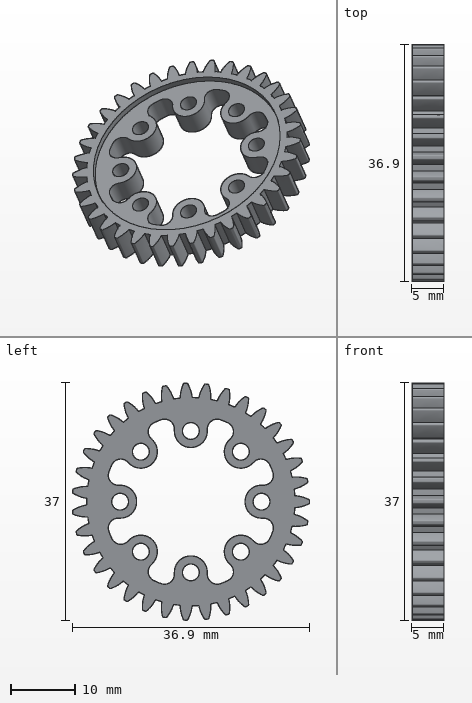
import cadquery as cq
import math

outer_diameter = 37.0
thickness = 5.0
tooth_count = 35
pressure_angle = math.radians(20)
dedendum_factor = 1.25
tooth_thinning = 0.135
root_flare = 0.055
flare_height = 0.55
tip_fillet = 0.22

boss_count = 8
boss_circle_radius = 11.0
boss_radius = 2.6
hole_diameter = 2.6
rim_inner_radius = 13.55
boss_fillet = 1.5

recess_radius = 15.15
recess_depth = 1.0

module = outer_diameter / (tooth_count + 2)
tip_radius = outer_diameter / 2
pitch_radius = module * tooth_count / 2
root_radius = pitch_radius - dedendum_factor * module
base_radius = pitch_radius * math.cos(pressure_angle)
tooth_pitch = 2 * math.pi / tooth_count
form_radius = root_radius + flare_height
involute_points = 5
boss_pitch = 2 * math.pi / boss_count


def polar(radius, angle):
    return (radius * math.cos(angle), radius * math.sin(angle))


def involute(angle):
    return math.tan(angle) - angle


def tooth_half_angle(radius):
    """Half the angle an involute tooth spans at a radius; radial below the base circle."""
    flank_angle = math.acos(min(1.0, base_radius / radius))
    pitch_half_angle = tooth_pitch / 4 - tooth_thinning / (2 * pitch_radius)
    return pitch_half_angle + involute(pressure_angle) - involute(flank_angle)


def flank(tooth_angle, side):
    """Flank points from root to tip, widened at the foot; side is -1 or +1."""
    foot_half_angle = tooth_half_angle(root_radius) + root_flare / root_radius
    points = [polar(root_radius, tooth_angle + side * foot_half_angle)]
    step = (tip_radius - form_radius) / (involute_points - 1)
    for i in range(involute_points):
        radius = form_radius + i * step
        points.append(polar(radius, tooth_angle + side * tooth_half_angle(radius)))
    return points


def is_tip_edge(edge):
    """True for an edge lying on the tip circle."""
    centre = edge.Center()
    return math.isclose(math.hypot(centre.y, centre.z), tip_radius, abs_tol=0.005)


def gear_blank():
    """Solid toothed disc with one tooth centred on -Y and rounded tooth tips."""
    first_angle = math.pi
    outline = cq.Workplane("YZ").moveTo(*flank(first_angle, -1)[0])
    for i in range(tooth_count):
        angle = first_angle + i * tooth_pitch
        next_angle = angle + tooth_pitch
        rising = flank(angle, -1)
        falling = flank(angle, 1)[::-1]
        outline = (
            outline.spline(rising[1:], includeCurrent=True)
            .threePointArc(polar(tip_radius, angle), falling[0])
            .spline(falling[1:], includeCurrent=True)
            .threePointArc(polar(root_radius, angle + tooth_pitch / 2), flank(next_angle, -1)[0])
        )
    disc = outline.close().extrude(thickness)
    return disc.edges("|X").filter(is_tip_edge).fillet(tip_fillet)


def central_opening():
    """Opening that leaves straight-sided bosses with round noses, filleted into the rim."""
    fillet_offset = boss_radius + boss_fillet
    fillet_centre_radius = rim_inner_radius - boss_fillet
    fillet_reach = math.sqrt(fillet_centre_radius**2 - fillet_offset**2)
    fillet_angle = math.atan2(fillet_offset, fillet_reach)
    middle_direction = (fillet_angle - math.pi / 2) / 2
    middle_reach = fillet_reach + boss_fillet * math.cos(middle_direction)
    middle_offset = fillet_offset + boss_fillet * math.sin(middle_direction)

    def boss_point(boss_angle, reach, offset):
        """Point at a reach along the boss centreline and an offset sideways from it."""
        return polar(math.hypot(reach, offset), boss_angle + math.atan2(offset, reach))

    outline = cq.Workplane("YZ").moveTo(*boss_point(0, boss_circle_radius, -boss_radius))
    for i in range(boss_count):
        angle = i * boss_pitch
        next_angle = angle + boss_pitch
        outline = (
            outline.threePointArc(
                polar(boss_circle_radius - boss_radius, angle),
                boss_point(angle, boss_circle_radius, boss_radius),
            )
            .lineTo(*boss_point(angle, fillet_reach, boss_radius))
            .threePointArc(
                boss_point(angle, middle_reach, middle_offset),
                polar(rim_inner_radius, angle + fillet_angle),
            )
            .threePointArc(
                polar(rim_inner_radius, angle + boss_pitch / 2),
                polar(rim_inner_radius, next_angle - fillet_angle),
            )
            .threePointArc(
                boss_point(next_angle, middle_reach, -middle_offset),
                boss_point(next_angle, fillet_reach, -boss_radius),
            )
            .lineTo(*boss_point(next_angle, boss_circle_radius, -boss_radius))
        )
    return outline.close().extrude(thickness)


def back_recess():
    """Round recess in the +X face that thins the bosses and the inner rim."""
    return (
        cq.Workplane("YZ")
        .workplane(offset=thickness - recess_depth)
        .circle(recess_radius)
        .extrude(recess_depth)
    )


def screw_holes():
    """Through holes concentric with the bosses."""
    return (
        cq.Workplane("YZ")
        .polarArray(boss_circle_radius, 0, 360, boss_count)
        .circle(hole_diameter / 2)
        .extrude(thickness)
    )


ring = gear_blank().cut(central_opening()).cut(back_recess()).cut(screw_holes())
result = ring.translate((-thickness / 2, 0, 0))